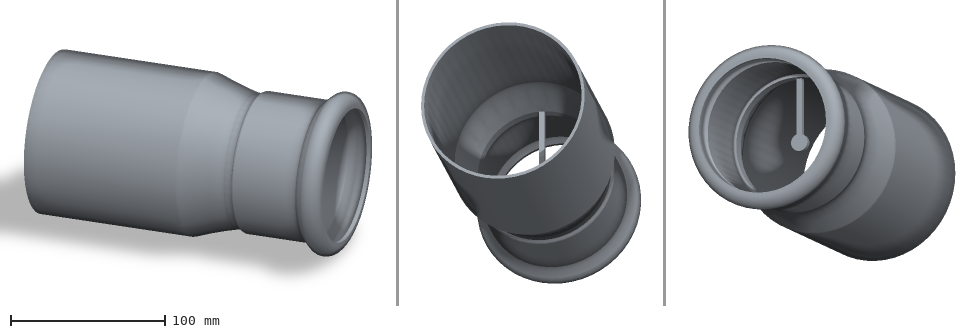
import cadquery as cq
import math

length = 203.0
pipe_end = 105.0
taper_start = 106.4
neck_start = 134.8
socket_start = 140.0
socket_round_end = 142.7
flare_start = 185.1
bead_start = 191.0

pipe_radius = 54.0
taper_start_radius = 53.5
taper_middle_radius = 48.7
neck_radius = 44.9
socket_radius = 46.9
bead_round = 7.5

pipe_wall = 2.0
socket_wall = 2.6

disc_radius = 5.7
arm_width = 3.7
indicator_thickness = 3.7

pipe_bore = pipe_radius - pipe_wall
neck_bore = neck_radius - socket_wall
socket_bore = socket_radius - socket_wall
bead_x = length - bead_round
bead_center_radius = pipe_radius - bead_round
groove_round = bead_round - socket_wall
diagonal = math.sqrt(0.5)


def bead_height(x, round_radius):
    """Distance from the part axis to the bead arc at station x."""
    return bead_center_radius + math.sqrt(round_radius**2 - (x - bead_x) ** 2)


def make_outside():
    """Solid of revolution of the outer outline."""
    taper_middle = (taper_start + neck_start) / 2
    socket_round = (
        socket_start + (socket_round_end - socket_start) * (1 - diagonal),
        neck_radius + (socket_radius - neck_radius) * diagonal,
    )
    outline = (
        cq.Workplane("XY")
        .lineTo(0, pipe_radius)
        .lineTo(pipe_end, pipe_radius)
        .lineTo(taper_start, taper_start_radius)
        .threePointArc((taper_middle, taper_middle_radius), (neck_start, neck_radius))
        .lineTo(socket_start, neck_radius)
        .threePointArc(socket_round, (socket_round_end, socket_radius))
        .lineTo(flare_start, socket_radius)
        .lineTo(bead_start, bead_height(bead_start, bead_round))
        .threePointArc((bead_x, pipe_radius), (length, bead_center_radius))
        .lineTo(length, 0)
        .close()
    )
    return outline.revolve(360, (0, 0, 0), (1, 0, 0))


def make_bore():
    """Stepped passage with a seal groove inside the bead."""
    groove_start = flare_start + socket_wall
    groove_arc_start = bead_x - groove_round * diagonal
    groove_end = bead_x + groove_round
    outline = (
        cq.Workplane("XY")
        .lineTo(0, pipe_bore)
        .lineTo(taper_start, pipe_bore)
        .lineTo(neck_start, neck_bore)
        .lineTo(socket_round_end, neck_bore)
        .lineTo(socket_round_end, socket_bore)
        .lineTo(groove_start, socket_bore)
        .lineTo(groove_arc_start, bead_height(groove_arc_start, groove_round))
        .threePointArc((bead_x, bead_center_radius + groove_round), (groove_end, bead_center_radius))
        .lineTo(groove_end, socket_bore)
        .lineTo(length, socket_bore)
        .lineTo(length, 0)
        .close()
    )
    return outline.revolve(360, (0, 0, 0), (1, 0, 0))


def make_indicator():
    """Disc on the axis, joined to the top of the neck wall by a flat arm."""
    arm_length = (neck_bore + neck_radius) / 2
    plane = cq.Workplane("YZ", origin=(neck_start, 0, 0))
    disc = plane.circle(disc_radius).extrude(indicator_thickness)
    arm = plane.center(0, arm_length / 2).rect(arm_width, arm_length).extrude(indicator_thickness)
    return disc.union(arm)


result = make_outside().cut(make_bore()).union(make_indicator())